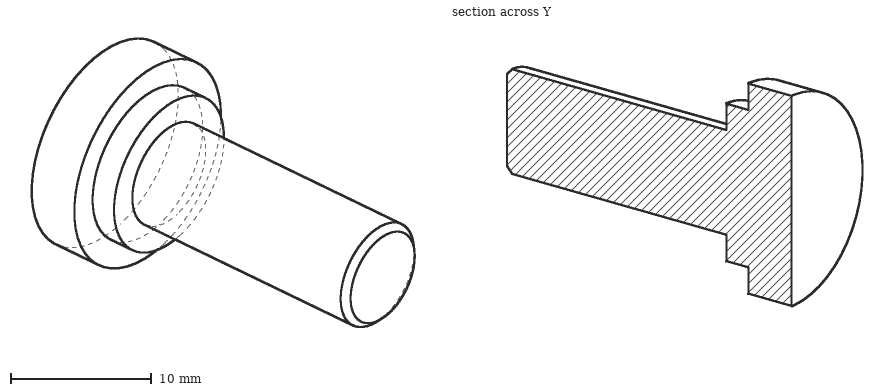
import cadquery as cq

head_diameter = 16.0
head_length = 4.0
collar_diameter = 12.0
collar_length = 2.0
shank_diameter = 8.0
shank_length = 20.0
tip_chamfer = 0.5

collar_start = head_length
shank_start = collar_start + collar_length


def round_section(start, diameter, length):
    """Cylinder along +X beginning at the given X position."""
    return cq.Workplane("YZ", origin=(start, 0, 0)).circle(diameter / 2).extrude(length)


head = round_section(0, head_diameter, head_length)
collar = round_section(collar_start, collar_diameter, collar_length)

shank = round_section(shank_start, shank_diameter, shank_length).faces(">X").chamfer(tip_chamfer)

result = head.union(collar).union(shank)